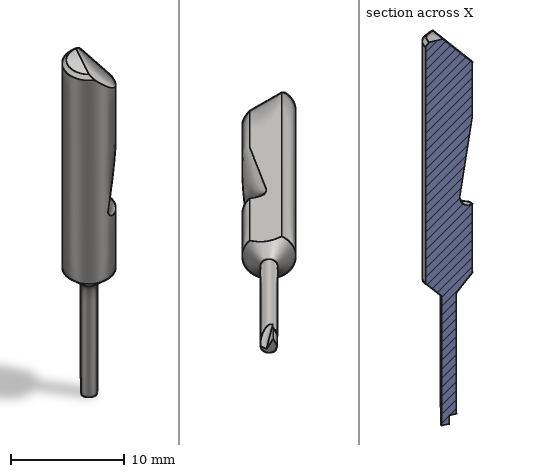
import cadquery as cq

total_length = 38.1
shank_radius = 2.38
neck_radius = 0.75
shank_start = 14.4
end_chamfer = 0.4
tip_corner_rise = 0.08
neck_end = shank_start - (shank_radius - neck_radius)

flat_distance = 1.9
flat_normal_angle = 142.5

bevel_edge_y = -0.6
notch_top = 29.87
notch_bottom = 21.15
notch_depth = 1.45
notch_corner_radius = 1.0

head_height = 1.8
head_reach = 0.857
cutting_face_y = 0.05
cutting_corner = (-head_reach, cutting_face_y)
flank_end = (-0.35, -0.65)
heel = (0.1, -neck_radius)
pocket_height = 2.45
pocket_end_x = 0.42

clearance = 0.4
cut_width = 4 * shank_radius


def side_prism(profile):
    """Extrude a (y, z) profile through the full width of the tool."""
    return profile.extrude(cut_width / 2, both=True)


def turned_body():
    return (
        cq.Workplane("XZ")
        .moveTo(0, 0)
        .lineTo(neck_radius, 0)
        .lineTo(neck_radius, neck_end)
        .lineTo(shank_radius, shank_start)
        .lineTo(shank_radius, total_length - end_chamfer)
        .lineTo(shank_radius - end_chamfer, total_length)
        .lineTo(0, total_length)
        .close()
        .revolve(360, (0, 0, 0), (0, 1, 0))
    )


def shank_flat():
    return (
        cq.Workplane("XY")
        .box(cut_width, cut_width, total_length, centered=(False, True, False))
        .translate((flat_distance, 0, neck_end))
        .rotate((0, 0, 0), (0, 0, 1), flat_normal_angle)
    )


def end_bevel():
    run = shank_radius + clearance - bevel_edge_y
    return side_prism(
        cq.Workplane("YZ")
        .moveTo(bevel_edge_y - clearance, total_length + clearance)
        .lineTo(bevel_edge_y + run, total_length - run)
        .lineTo(bevel_edge_y + run, total_length + clearance)
        .close()
    )


def clamping_notch():
    outer_y = shank_radius + clearance
    slope = (notch_top - notch_bottom) / notch_depth
    sharp_y = shank_radius - notch_depth
    notch = side_prism(
        cq.Workplane("YZ")
        .moveTo(sharp_y, notch_bottom)
        .lineTo(outer_y, notch_bottom)
        .lineTo(outer_y, notch_top + slope * clearance)
        .close()
    )
    return notch.edges("|X and <Y").fillet(notch_corner_radius)


def flank_relief():
    """Material beside the flank and the narrow land behind it."""
    outer_x = -head_reach - clearance
    outer_y = -neck_radius - clearance
    return (
        cq.Workplane("XY", origin=(0, 0, -clearance))
        .moveTo(outer_x, cutting_face_y)
        .lineTo(*cutting_corner)
        .lineTo(*flank_end)
        .lineTo(*heel)
        .lineTo(heel[0], outer_y)
        .lineTo(outer_x, outer_y)
        .close()
        .extrude(clearance + head_height)
    )


def nose():
    """Wedge that carries the cutting corner out past the neck."""
    return (
        cq.Workplane("XY")
        .polyline([cutting_corner, flank_end, (0, cutting_face_y)])
        .close()
        .extrude(head_height)
    )


def end_relief():
    """End face rising from the cutting corner towards the back of the neck."""
    back_x = neck_radius + clearance
    return (
        cq.Workplane("XZ")
        .moveTo(-head_reach, 0)
        .lineTo(back_x, tip_corner_rise)
        .lineTo(back_x, -clearance)
        .lineTo(-head_reach, -clearance)
        .close()
        .extrude(cut_width / 2, both=True)
    )


def chip_pocket():
    """Pocket above the cutting face with a wall that slopes out to the neck."""
    outer_x = -head_reach - clearance
    wall_slope = pocket_height / (neck_radius + pocket_end_x)
    outer_z = wall_slope * (pocket_end_x - outer_x)
    return (
        cq.Workplane("XZ", origin=(0, cutting_face_y, 0))
        .moveTo(outer_x, -clearance)
        .lineTo(pocket_end_x, -clearance)
        .lineTo(pocket_end_x, 0)
        .lineTo(outer_x, outer_z)
        .close()
        .extrude(-cut_width)
    )


result = (
    turned_body()
    .cut(shank_flat())
    .cut(end_bevel())
    .cut(clamping_notch())
    .cut(flank_relief())
    .union(nose())
    .cut(chip_pocket())
    .cut(end_relief())
)